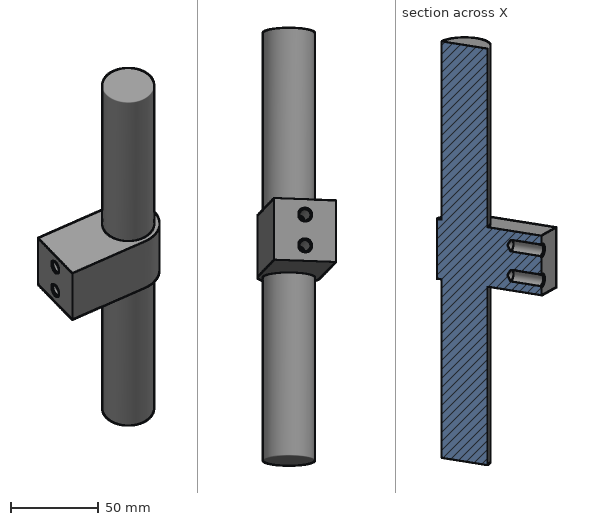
import cadquery as cq
import math

bar_diameter = 30.0
bar_length = 250.0
bar_end_fillet = 0.5

block_width = 36.0
block_depth = 68.0
block_height = 36.0
block_radius = block_width / 2
mounting_face_y = block_radius - block_depth

hole_diameter = 6.65
hole_mouth_diameter = 8.0
hole_spacing = 18.0
hole_depth = 20.0
drill_point_angle = 118.0


def make_bar():
    bar = cq.Workplane("XY").circle(bar_diameter / 2).extrude(bar_length / 2, both=True)
    return bar.faces("<Z or >Z").edges().fillet(bar_end_fillet)


def make_block():
    return (
        cq.Workplane("XY")
        .moveTo(-block_radius, mounting_face_y)
        .lineTo(block_radius, mounting_face_y)
        .lineTo(block_radius, 0)
        .threePointArc((0, block_radius), (-block_radius, 0))
        .close()
        .extrude(block_height / 2, both=True)
    )


def make_hole_cutter(center_z):
    """Countersunk blind hole with a conical drill point, running along +Y."""
    hole_radius = hole_diameter / 2
    mouth_radius = hole_mouth_diameter / 2
    mouth_depth = mouth_radius - hole_radius
    point_depth = hole_radius / math.tan(math.radians(drill_point_angle / 2))
    profile = (
        cq.Workplane("XY")
        .lineTo(mouth_radius, 0)
        .lineTo(hole_radius, mouth_depth)
        .lineTo(hole_radius, hole_depth)
        .lineTo(0, hole_depth + point_depth)
        .close()
    )
    cutter = profile.revolve(360, (0, 0, 0), (0, 1, 0))
    return cutter.translate((0, mounting_face_y, center_z))


result = make_bar().union(make_block())
for hole_z in (-hole_spacing / 2, hole_spacing / 2):
    result = result.cut(make_hole_cutter(hole_z))